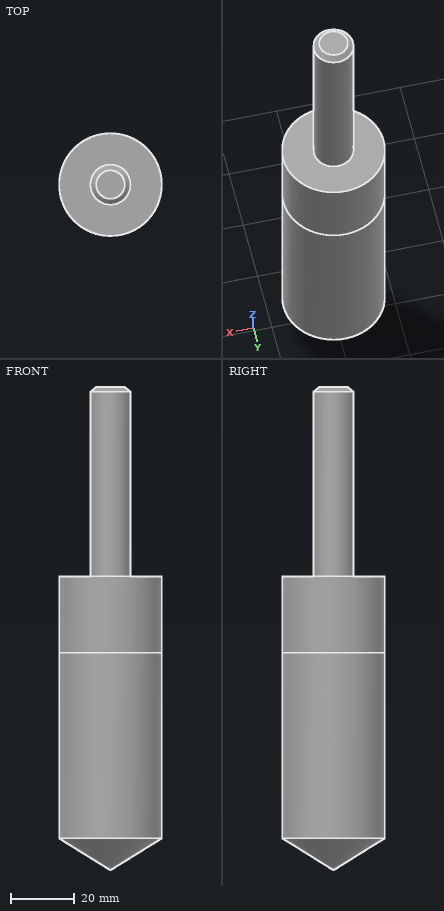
import cadquery as cq

total_height = 152.4
body_diameter = 32.5
rod_diameter = 12.6

cone_height = 10.0
joint_height = 68.6
shoulder_height = 92.7

bevel_width = 1.8
bevel_height = 1.5

body_radius = body_diameter / 2
rod_radius = rod_diameter / 2


def make_pointed_body():
    """Lower cylinder ending in a conical point at the origin."""
    return (
        cq.Workplane("XZ")
        .moveTo(0, 0)
        .lineTo(body_radius, cone_height)
        .lineTo(body_radius, joint_height)
        .lineTo(0, joint_height)
        .close()
        .revolve(360, (0, 0), (0, 1))
    )


def make_head_with_rod():
    """Upper cylinder resting on the pointed body, with a bevelled rod on top."""
    return (
        cq.Workplane("XZ")
        .moveTo(0, joint_height)
        .lineTo(body_radius, joint_height)
        .lineTo(body_radius, shoulder_height)
        .lineTo(rod_radius, shoulder_height)
        .lineTo(rod_radius, total_height - bevel_height)
        .lineTo(rod_radius - bevel_width, total_height)
        .lineTo(0, total_height)
        .close()
        .revolve(360, (0, 0), (0, 1))
    )


pointed_body = make_pointed_body()
head_with_rod = make_head_with_rod()

result = cq.Compound.makeCompound([pointed_body.val(), head_with_rod.val()])